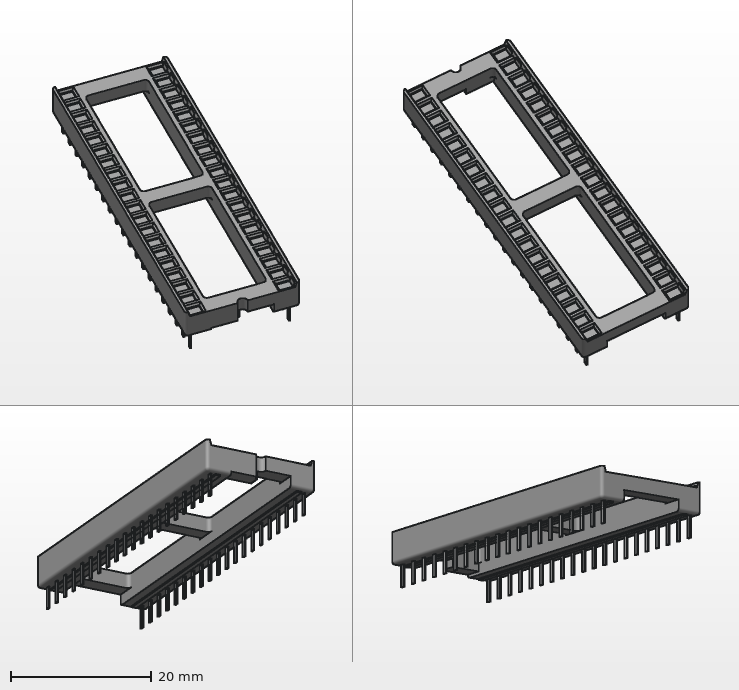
import cadquery as cq

LENGTH = 50.8
WIDTH = 17.7
HEIGHT = 8.1

PINS_PER_ROW = 20
PITCH = 2.55
ROW_Y = 7.6
PIN_WIDTH = 0.6
PIN_THICKNESS = 0.2
PIN_LENGTH = 3.3
PIN_EMBED = 0.5

BODY_BOTTOM = PIN_LENGTH
DECK_Z = 7.25
EDGE_RADIUS = 0.5

LIP_TOP_THICKNESS = 0.5
LIP_BASE_THICKNESS = 0.75

WINDOW_WIDTH = 9.65
END_BAR = 2.65
CENTRE_BAR = 2.45
WINDOW_RADIUS = 0.6

CHANNEL_HEIGHT = 1.75
STOP_RISE = 0.5
STOP_EDGE_Y = -0.2

INDEX_RADIUS = 0.75

MOUTH_LENGTH = 2.1
TAPER_INSET = 0.3
TAPER_DEPTH = 0.3
WELL_DEPTH = 0.55
MOUTH_INNER_Y = 5.6
RECESS_RISE = 0.35
RECESS_TOP_THICKNESS = 0.6
RECESS_BASE_THICKNESS = 0.8

RAIL_HEIGHT = 0.2
RAIL_WIDTH = 0.75
RAIL_Y = 6.6
RAIL_LENGTH = 49.3

SIDES = (-1, 1)
PIN_XS = [(i - (PINS_PER_ROW - 1) / 2) * PITCH for i in range(PINS_PER_ROW)]


def block(x_range, y_range, z_range):
    """Axis-aligned box spanning the given ranges."""
    lows = [min(r) for r in (x_range, y_range, z_range)]
    sizes = [abs(r[1] - r[0]) for r in (x_range, y_range, z_range)]
    return cq.Workplane("XY").box(*sizes, centered=False).translate(tuple(lows))


def make_shell():
    """Rounded block with the space between the drafted lips removed."""
    shell = (
        cq.Workplane("XY", origin=(0, 0, BODY_BOTTOM))
        .box(LENGTH, WIDTH, HEIGHT - BODY_BOTTOM, centered=(True, True, False))
        .edges("|Z").fillet(EDGE_RADIUS)
        .faces("<Z").edges().fillet(EDGE_RADIUS)
    )
    half_base = WIDTH / 2 - LIP_BASE_THICKNESS
    half_top = WIDTH / 2 - LIP_TOP_THICKNESS
    trough = (
        cq.Workplane("YZ")
        .polyline([(-half_base, DECK_Z), (half_base, DECK_Z), (half_top, HEIGHT), (-half_top, HEIGHT)])
        .close()
        .extrude(LENGTH / 2, both=True)
    )
    return shell.cut(trough)


def make_windows():
    """Two rounded through windows, one either side of the centre bar."""
    window_length = (LENGTH - CENTRE_BAR) / 2 - END_BAR
    window_x = (CENTRE_BAR + window_length) / 2
    return (
        cq.Workplane("XY")
        .pushPoints([(side * window_x, 0) for side in SIDES])
        .rect(window_length, WINDOW_WIDTH)
        .extrude(HEIGHT)
        .edges("|Z").fillet(WINDOW_RADIUS)
    )


def make_channel():
    """Channel along the underside, leaving a stop under half of the +X end bar."""
    half = WINDOW_WIDTH / 2
    channel = block((-LENGTH / 2, LENGTH / 2), (-half, half), (BODY_BOTTOM, BODY_BOTTOM + CHANNEL_HEIGHT))
    stop = block(
        (LENGTH / 2 - END_BAR, LENGTH / 2),
        (-half, STOP_EDGE_Y),
        (BODY_BOTTOM + STOP_RISE, BODY_BOTTOM + CHANNEL_HEIGHT),
    )
    return channel.cut(stop)


def make_cavity():
    """Cavity of a +Y contact at X = 0: a well with a lead-in taper on three sides.

    The outer wall of the well leans outward and rises into the lip as a shallow recess.
    """
    well_length = MOUTH_LENGTH - 2 * TAPER_INSET
    well_inner_y = MOUTH_INNER_Y + TAPER_INSET
    lip_face_y = WIDTH / 2 - LIP_BASE_THICKNESS
    floor_z = DECK_Z - WELL_DEPTH
    top_z = DECK_Z + RECESS_RISE
    recess_base_y = WIDTH / 2 - RECESS_BASE_THICKNESS
    recess_top_y = WIDTH / 2 - RECESS_TOP_THICKNESS
    well = (
        cq.Workplane("YZ")
        .polyline([
            (well_inner_y, floor_z),
            (recess_base_y, floor_z),
            (recess_top_y, top_z),
            (well_inner_y, top_z),
        ])
        .close()
        .extrude(well_length / 2, both=True)
    )
    mouth_width = lip_face_y - MOUTH_INNER_Y
    throat_width = lip_face_y - well_inner_y
    taper = (
        cq.Workplane("XY", origin=(0, lip_face_y - throat_width / 2, DECK_Z - TAPER_DEPTH))
        .rect(well_length, throat_width)
        .workplane(offset=TAPER_DEPTH)
        .center(0, (throat_width - mouth_width) / 2)
        .rect(MOUTH_LENGTH, mouth_width)
        .loft(ruled=True)
    )
    return well.union(taper)


def repeat_contacts(shape):
    """Copy a +Y contact feature to every position of both rows."""
    rows = [shape.val(), shape.mirror("XZ").val()]
    copies = [row.translate(cq.Vector(x, 0, 0)) for row in rows for x in PIN_XS]
    return cq.Compound.makeCompound(copies)


def make_pin():
    """Flat pin of a +Y contact at X = 0, rooted in the body."""
    return block(
        (-PIN_WIDTH / 2, PIN_WIDTH / 2),
        (ROW_Y - PIN_THICKNESS / 2, ROW_Y + PIN_THICKNESS / 2),
        (0, PIN_LENGTH + PIN_EMBED),
    )


def make_rail(side):
    """Standoff rail beneath one contact row."""
    return block(
        (-RAIL_LENGTH / 2, RAIL_LENGTH / 2),
        (side * RAIL_Y - RAIL_WIDTH / 2, side * RAIL_Y + RAIL_WIDTH / 2),
        (BODY_BOTTOM - RAIL_HEIGHT, BODY_BOTTOM),
    )


def make_index_notch():
    """Orientation notch through the +X end bar."""
    return cq.Workplane("XY").center(LENGTH / 2, 0).circle(INDEX_RADIUS).extrude(HEIGHT)


result = make_shell().cut(make_windows()).cut(make_channel()).cut(make_index_notch())
result = result.cut(cq.Workplane(repeat_contacts(make_cavity())))
for side in SIDES:
    result = result.union(make_rail(side))
result = result.union(cq.Workplane(repeat_contacts(make_pin())))